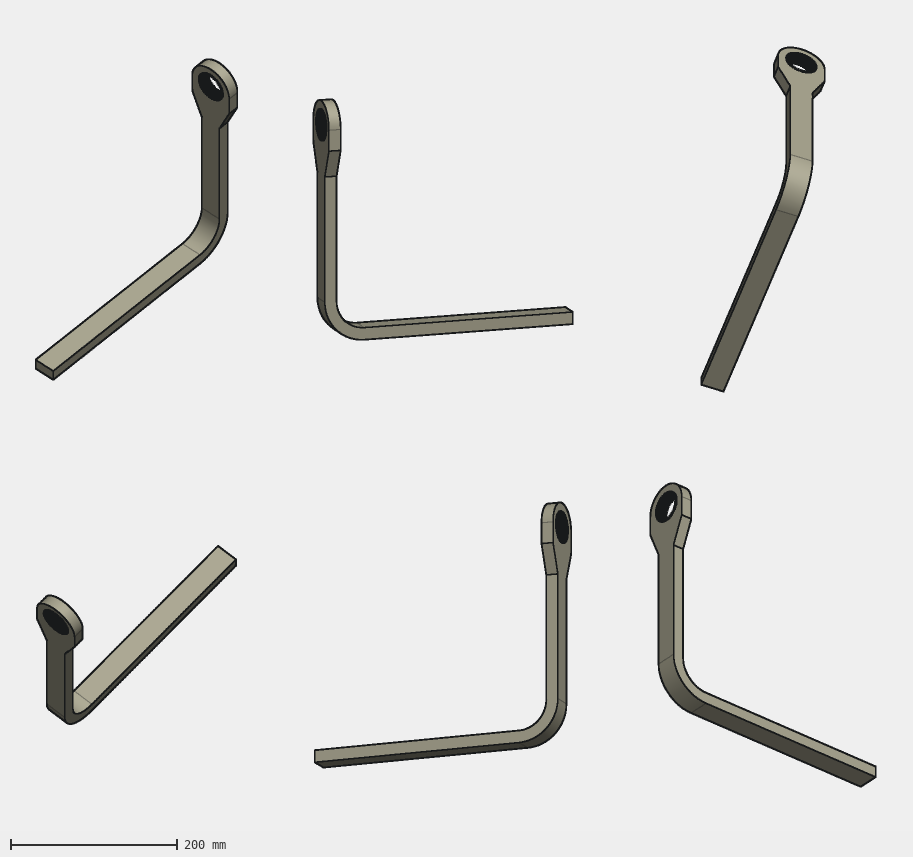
import cadquery as cq
import math

eye_width = 60.0
reach = 315.0
height = 296.0

bar_width = 28.7
thickness = 15.0
outer_bend_radius = 50.0
inner_bend_radius = outer_bend_radius - thickness

eye_radius = eye_width / 2
eye_center_height = height - eye_radius
head_length = 56.0
taper_length = 35.3
taper_top = height - head_length
taper_bottom = taper_top - taper_length

tooth_count = 45
root_diameter = 39.0
tip_diameter = 34.3
root_radius = root_diameter / 2
tip_radius = tip_diameter / 2
groove_width = 1.0
tip_width = 0.13



def bent_bar():
    """L-shaped strip with concentric bend arcs, extruded across the bar width."""
    bend_diagonal = math.sqrt(0.5)
    outer_mid = outer_bend_radius * (1 - bend_diagonal)
    inner_mid = outer_bend_radius - inner_bend_radius * bend_diagonal
    return (
        cq.Workplane("YZ")
        .moveTo(0, taper_bottom)
        .lineTo(0, outer_bend_radius)
        .threePointArc((-outer_mid, outer_mid), (-outer_bend_radius, 0))
        .lineTo(-reach, 0)
        .lineTo(-reach, thickness)
        .lineTo(-outer_bend_radius, thickness)
        .threePointArc((-inner_mid, inner_mid), (-thickness, outer_bend_radius))
        .lineTo(-thickness, taper_bottom)
        .close()
        .extrude(bar_width / 2, both=True)
    )


def eye():
    """Flat head that widens from the bar to the full eye width."""
    return (
        cq.Workplane("XZ")
        .moveTo(-bar_width / 2, taper_bottom)
        .lineTo(-eye_radius, taper_top)
        .lineTo(-eye_radius, eye_center_height)
        .threePointArc((0, height), (eye_radius, eye_center_height))
        .lineTo(eye_radius, taper_top)
        .lineTo(bar_width / 2, taper_bottom)
        .close()
        .extrude(thickness)
    )


def bore_point(radius, angle):
    """Point on a circle about the bore axis, with the angle measured from straight up."""
    return (radius * math.sin(angle), radius * math.cos(angle))


def serrated_bore():
    """Cutter for the bore: the root circle notched by evenly spaced trapezoidal teeth."""
    pitch = 2 * math.pi / tooth_count
    tip_half_angle = tip_width / tip_radius / 2
    root_half_angle = pitch / 2 - groove_width / root_radius / 2
    outline = []
    for tooth in range(tooth_count):
        center = tooth * pitch
        outline.append(bore_point(root_radius, center - root_half_angle))
        outline.append(bore_point(tip_radius, center - tip_half_angle))
        outline.append(bore_point(tip_radius, center + tip_half_angle))
        outline.append(bore_point(root_radius, center + root_half_angle))
    return (
        cq.Workplane("XZ")
        .center(0, eye_center_height)
        .polyline(outline)
        .close()
        .extrude(thickness)
    )


result = bent_bar().union(eye()).cut(serrated_bore())